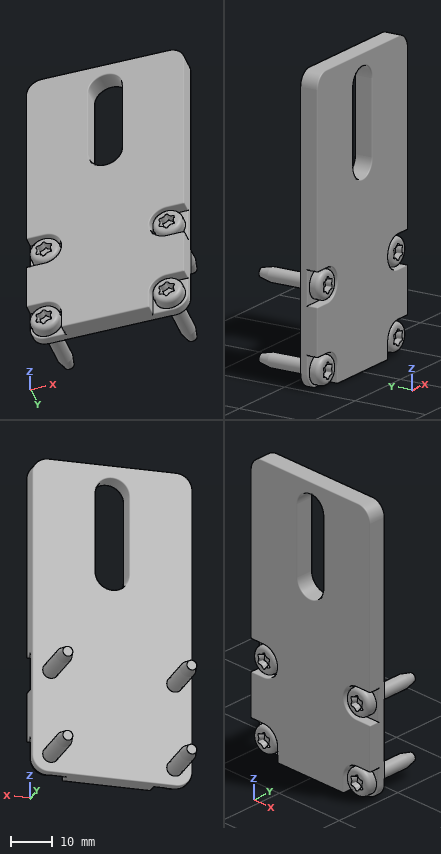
import cadquery as cq
import math

WIDTH = 40.0
HEIGHT = 80.0
THICKNESS = 5.0
CORNER_RADIUS = 4.0
EDGE_ROUNDING = 0.3

SLOT_WIDTH = 8.5
SLOT_TRAVEL = 19.8
SLOT_CENTRE_Z = 62.5

SCREW_EDGE_OFFSET = 4.5
SCREW_PITCH_Z = 21.4
POCKET_RADIUS = 4.4
POCKET_DEPTH = 2.8

HEAD_DIAMETER = 7.7
HEAD_ROUNDING = 1.2
SHANK_DIAMETER = 3.9
SHANK_LENGTH = 16.0
TIP_DIAMETER = 2.5
TIP_LENGTH = 3.0
STRAIGHT_LENGTH = SHANK_LENGTH - TIP_LENGTH

LOBE_COUNT = 6
LOBE_TIP_RADIUS = 2.2
LOBE_VALLEY_RADIUS = 1.7
LOBE_ROUNDING = 0.4
DRIVE_DEPTH = 1.6
DRIVE_TAPER = 14

TOLERANCE = 0.01
UPRIGHT = 90
OVERLAP = 8.0

SCREW_X = WIDTH / 2 - SCREW_EDGE_OFFSET
LOWER_SCREW_Z = SCREW_EDGE_OFFSET
UPPER_SCREW_Z = LOWER_SCREW_Z + SCREW_PITCH_Z


def front_sketch_plane():
    """XZ plane on the front face (y = 0); extrusion runs back along +Y."""
    return cq.Workplane(cq.Plane(origin=(0, 0, 0), xDir=(1, 0, 0), normal=(0, -1, 0)))


def pocket(side, z, open_below):
    """Round-ended pocket that opens on the side edge, and at a corner also on the bottom edge."""
    x = side * SCREW_X
    reach = SCREW_EDGE_OFFSET + OVERLAP
    cutter = front_sketch_plane().center(x, z).circle(POCKET_RADIUS).extrude(-POCKET_DEPTH)
    side_run = front_sketch_plane().center(x + side * reach / 2, z).rect(reach, 2 * POCKET_RADIUS)
    cutter = cutter.union(side_run.extrude(-POCKET_DEPTH))
    if open_below:
        inner_x = x - side * POCKET_RADIUS
        outer_x = x + side * reach
        down_run = front_sketch_plane().moveTo(inner_x, z).lineTo(outer_x, z)
        down_run = down_run.lineTo(outer_x, z - reach).lineTo(inner_x, z - reach).close()
        cutter = cutter.union(down_run.extrude(-POCKET_DEPTH))
    return cutter.clean()


def slot():
    """Upright round-ended slot through the plate."""
    overall = SLOT_TRAVEL + SLOT_WIDTH
    sketch = front_sketch_plane().center(0, SLOT_CENTRE_Z)
    return sketch.slot2D(overall, SLOT_WIDTH, UPRIGHT).extrude(-THICKNESS)


def is_exposed_rim(edge):
    """True for sharp convex edges: face outlines, slot rims, pocket mouths and pocket floor rims."""
    centre = edge.Center()
    on_front_or_back = min(abs(centre.y), abs(centre.y - THICKNESS)) < TOLERANCE
    on_side = abs(abs(centre.x) - WIDTH / 2) < TOLERANCE
    on_bottom = abs(centre.z) < TOLERANCE
    on_corner = edge.geomType() == "CIRCLE" and abs(edge.radius() - CORNER_RADIUS) < TOLERANCE
    within_pocket_depth = edge.BoundingBox().ymax < POCKET_DEPTH + TOLERANCE
    return on_front_or_back or (within_pocket_depth and (on_side or on_bottom or on_corner))


def plate():
    """Rounded plate with its slot and pockets cut and every exposed rim rounded over."""
    body = cq.Workplane("XY").box(WIDTH, THICKNESS, HEIGHT, centered=(True, False, False))
    body = body.edges("|Y").fillet(CORNER_RADIUS)
    for side in (-1, 1):
        body = body.cut(pocket(side, UPPER_SCREW_Z, False))
        body = body.cut(pocket(side, LOWER_SCREW_Z, True))
    body = body.cut(slot())
    return body.edges().filter(is_exposed_rim).fillet(EDGE_ROUNDING)


def drive_recess(x, z):
    """Six-lobe socket: rounded lobes joined by tangent hollows."""
    half_step = math.pi / LOBE_COUNT
    lobe_centre = LOBE_TIP_RADIUS - LOBE_ROUNDING
    hollow_radius = (
        LOBE_ROUNDING**2 - lobe_centre**2 - LOBE_VALLEY_RADIUS**2
        + 2 * lobe_centre * LOBE_VALLEY_RADIUS * math.cos(half_step)
    ) / (2 * (LOBE_VALLEY_RADIUS - lobe_centre * math.cos(half_step) - LOBE_ROUNDING))
    hollow_centre = LOBE_VALLEY_RADIUS + hollow_radius
    share = LOBE_ROUNDING / (LOBE_ROUNDING + hollow_radius)

    def polar(radius, angle):
        return (radius * math.sin(angle), radius * math.cos(angle))

    def tangent_point(lobe, turn):
        """Where a lobe meets the hollow before (turn -1) or after (turn 1) it."""
        lobe_angle = 2 * half_step * lobe
        lobe_x, lobe_z = polar(lobe_centre, lobe_angle)
        hollow_x, hollow_z = polar(hollow_centre, lobe_angle + turn * half_step)
        return (lobe_x + share * (hollow_x - lobe_x), lobe_z + share * (hollow_z - lobe_z))

    outline = front_sketch_plane().center(x, z).moveTo(*tangent_point(0, -1))
    for lobe in range(LOBE_COUNT):
        lobe_angle = 2 * half_step * lobe
        outline = outline.threePointArc(polar(LOBE_TIP_RADIUS, lobe_angle), tangent_point(lobe, 1))
        valley = polar(LOBE_VALLEY_RADIUS, lobe_angle + half_step)
        outline = outline.threePointArc(valley, tangent_point(lobe + 1, -1))
    return outline.close().extrude(-DRIVE_DEPTH, taper=DRIVE_TAPER)


def screw(x, z):
    """Pan-head screw with its head flush with the front face and its shank along +Y."""
    head = front_sketch_plane().center(x, z).circle(HEAD_DIAMETER / 2).extrude(-POCKET_DEPTH)
    head = head.faces("<Y").edges().fillet(HEAD_ROUNDING)
    shank_plane = front_sketch_plane().workplane(offset=-POCKET_DEPTH).center(x, z)
    shank = shank_plane.circle(SHANK_DIAMETER / 2).extrude(-STRAIGHT_LENGTH)
    tip = shank.faces(">Y").workplane().circle(SHANK_DIAMETER / 2)
    tip = tip.workplane(offset=TIP_LENGTH).circle(TIP_DIAMETER / 2).loft(combine=False)
    return head.union(shank).union(tip).cut(drive_recess(x, z))


result = plate()
for screw_x in (-SCREW_X, SCREW_X):
    for screw_z in (LOWER_SCREW_Z, UPPER_SCREW_Z):
        result = result.union(screw(screw_x, screw_z))